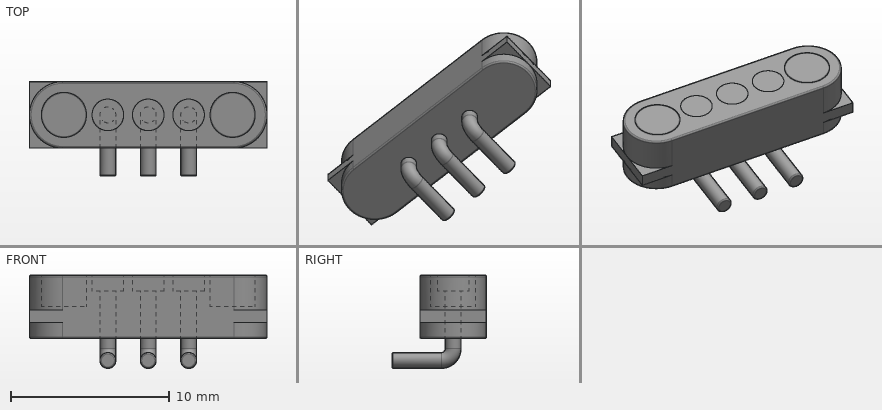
import cadquery as cq

LENGTH = 15.0
WIDTH = 4.2
HEIGHT = 4.0
RIM_FILLET = 0.1
FLANGE_BOTTOM = 1.0
FLANGE_THICKNESS = 0.8

MAGNET_DIAMETER = 2.85
MAGNET_OFFSET = 5.32
MAGNET_DEPTH = 2.0
MAGNET_FILLET = 0.05

PIN_COUNT = 3
PIN_PITCH = 2.55
HEAD_DIAMETER = 2.0
HEAD_THICKNESS = 1.0
SHANK_DIAMETER = 1.0
TIP_FILLET = 0.09
BEND_RADIUS = 0.75
PIN_DROP = 1.89
PIN_REACH = 3.85

TAIL_Z = SHANK_DIAMETER / 2 - PIN_DROP
BEND_START_Z = TAIL_Z + BEND_RADIUS
PIN_XS = [(i - (PIN_COUNT - 1) / 2) * PIN_PITCH for i in range(PIN_COUNT)]
MAGNET_XS = [-MAGNET_OFFSET, MAGNET_OFFSET]


def make_magnet(x):
    """Disc magnet with a softened upper edge, flush with the housing top."""
    return magnet_blank(x).faces(">Z").edges().fillet(MAGNET_FILLET)


def magnet_blank(x):
    """Sharp-edged magnet cylinder, which is also the shape of its pocket."""
    return (
        cq.Workplane("XY", origin=(x, 0, HEIGHT - MAGNET_DEPTH))
        .circle(MAGNET_DIAMETER / 2)
        .extrude(MAGNET_DEPTH)
    )


def make_pin(x):
    """Disc head on a round shank that bends through 90 degrees toward -Y, with a rounded tip."""
    path = (
        cq.Workplane("YZ", origin=(x, 0, 0))
        .moveTo(0, HEIGHT - HEAD_THICKNESS)
        .lineTo(0, BEND_START_Z)
        .radiusArc((-BEND_RADIUS, TAIL_Z), BEND_RADIUS)
        .lineTo(-PIN_REACH, TAIL_Z)
    )
    shank = (
        cq.Workplane("XY", origin=(x, 0, HEIGHT - HEAD_THICKNESS))
        .circle(SHANK_DIAMETER / 2)
        .sweep(path)
        .faces("<Y").edges().fillet(TIP_FILLET)
    )
    head = (
        cq.Workplane("XY", origin=(x, 0, HEIGHT - HEAD_THICKNESS))
        .circle(HEAD_DIAMETER / 2)
        .extrude(HEAD_THICKNESS)
    )
    return shank.union(head)


def make_housing(pins):
    """Flanged block with a pocket for each magnet and a fitted seat for each pin."""
    body = (
        cq.Workplane("XY")
        .slot2D(LENGTH, WIDTH)
        .extrude(HEIGHT)
        .faces("<Z or >Z").edges().fillet(RIM_FILLET)
    )
    flange = (
        cq.Workplane("XY", origin=(0, 0, FLANGE_BOTTOM))
        .rect(LENGTH, WIDTH)
        .extrude(FLANGE_THICKNESS)
    )
    housing = body.union(flange)
    for x in MAGNET_XS:
        housing = housing.cut(magnet_blank(x))
    for pin in pins:
        housing = housing.cut(pin)
    return housing


magnets = [make_magnet(x) for x in MAGNET_XS]
pins = [make_pin(x) for x in PIN_XS]
housing = make_housing(pins)

result = cq.Compound.makeCompound(
    [housing.val()]
    + [magnet.val() for magnet in magnets]
    + [pin.val() for pin in pins]
)